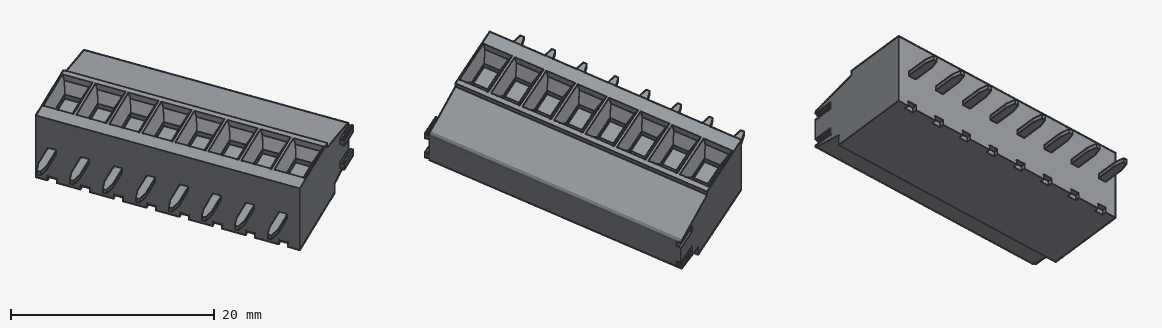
import cadquery as cq

WAYS = 8
PITCH = 3.5
LENGTH = WAYS * PITCH
DEPTH = 12.6
HEIGHT = 8.2

TOP_STEP_Y = 7.15
TOP_STEP_Z = 7.65
BACK_TOP_Z = 6.4
BOTTOM_STEP_Y = 9.05
BOTTOM_STEP_Z = 1.25
BACK_BOTTOM_Z = 1.85
BACK_EDGE_FILLET = 0.3

POCKET_LENGTH_X = 3.2
POCKET_WIDTH_Y = 4.95
POCKET_CENTRE_Y = 4.07
LIP_DEPTH = 0.56
LIP_INSET_Y = 0.19
FUNNEL_DEPTH = 1.45
FUNNEL_INSET_X = 0.72
LIP_INSET_X = FUNNEL_INSET_X * LIP_DEPTH / FUNNEL_DEPTH
FUNNEL_INSET_Y = 1.18
POCKET_DEPTH = 2.0

PIN_WIDTH = 0.9
PIN_TIP_WIDTH = 0.4
PIN_THICKNESS = 0.5
PIN_CENTRE_Z = 4.1
PIN_LENGTH = 3.5
PIN_STRAIGHT = 2.45

NOTCH_WIDTH = 1.0
NOTCH_HEIGHT = 0.6
NOTCH_DEPTH = 0.5

KEY_RUN = 2.3
KEY_DEPTH = 0.5
KEY_MIRROR_Z = 4.14
NECK_INNER = 1.29
NECK_OUTER = 1.86
STEP_FROM_END = KEY_DEPTH / 2
RIB_HEAD_INNER = 1.21
RIB_HEAD_OUTER = 1.94
RIB_CREST_OUTER = 2.0
GROOVE_MOUTH_INNER = 1.23
GROOVE_MOUTH_OUTER = 2.04
GROOVE_STEP_SLOPE = 0.1


def way_centre_x(way):
    return (way + 0.5) * PITCH


def make_body():
    outline = [
        (0, 0),
        (BOTTOM_STEP_Y, 0),
        (BOTTOM_STEP_Y, BOTTOM_STEP_Z),
        (DEPTH, BACK_BOTTOM_Z),
        (DEPTH, BACK_TOP_Z),
        (TOP_STEP_Y, TOP_STEP_Z),
        (TOP_STEP_Y, HEIGHT),
        (0, HEIGHT),
    ]
    body = cq.Workplane("YZ").polyline(outline).close().extrude(LENGTH)
    return body.faces(">Y").edges("|X").fillet(BACK_EDGE_FILLET)


def pocket_section(workplane, inset_x, inset_y):
    return workplane.rect(POCKET_LENGTH_X - 2 * inset_x, POCKET_WIDTH_Y - 2 * inset_y)


def make_pocket(x):
    def level(depth):
        return cq.Workplane("XY", origin=(x, POCKET_CENTRE_Y, HEIGHT - depth))

    lip = pocket_section(level(0), 0, 0).workplane(offset=-LIP_DEPTH)
    lip = pocket_section(lip, LIP_INSET_X, LIP_INSET_Y).loft(ruled=True)

    funnel = pocket_section(level(LIP_DEPTH), LIP_INSET_X, LIP_INSET_Y)
    funnel = funnel.workplane(offset=LIP_DEPTH - FUNNEL_DEPTH)
    funnel = pocket_section(funnel, FUNNEL_INSET_X, FUNNEL_INSET_Y).loft(ruled=True)

    well = pocket_section(level(FUNNEL_DEPTH), FUNNEL_INSET_X, FUNNEL_INSET_Y)
    well = well.extrude(FUNNEL_DEPTH - POCKET_DEPTH)
    return lip.union(funnel).union(well)


def make_pin(x):
    outline = [
        (-PIN_WIDTH / 2, 0),
        (-PIN_WIDTH / 2, -PIN_STRAIGHT),
        (-PIN_TIP_WIDTH / 2, -PIN_LENGTH),
        (PIN_TIP_WIDTH / 2, -PIN_LENGTH),
        (PIN_WIDTH / 2, -PIN_STRAIGHT),
        (PIN_WIDTH / 2, 0),
    ]
    plane = cq.Workplane("XY", origin=(x, 0, PIN_CENTRE_Z - PIN_THICKNESS / 2))
    return plane.polyline(outline).close().extrude(PIN_THICKNESS)


def make_notch(x):
    notch = cq.Workplane("XY").box(NOTCH_WIDTH, NOTCH_DEPTH, NOTCH_HEIGHT, centered=(True, False, False))
    return notch.translate((x, 0, 0))


def extrude_key(outline, side):
    """Extrude an (x, offset) section on the upper (side = 1) or lower (side = -1) half."""
    points = [(x, KEY_MIRROR_Z + side * offset) for x, offset in outline]
    return cq.Workplane("XZ", origin=(0, DEPTH, 0)).polyline(points).close().extrude(KEY_RUN)


def make_rib(side):
    step_x = LENGTH + STEP_FROM_END
    tip_x = LENGTH + KEY_DEPTH
    outline = [
        (LENGTH, NECK_INNER),
        (step_x, NECK_INNER),
        (step_x, RIB_HEAD_INNER),
        (tip_x, RIB_HEAD_INNER),
        (tip_x, RIB_HEAD_OUTER),
        ((step_x + tip_x) / 2, RIB_CREST_OUTER),
        (step_x, RIB_HEAD_OUTER),
        (step_x, NECK_OUTER),
        (LENGTH, NECK_OUTER),
    ]
    return extrude_key(outline, side)


def make_groove(side):
    outline = [
        (0, GROOVE_MOUTH_INNER),
        (STEP_FROM_END, GROOVE_MOUTH_INNER),
        (STEP_FROM_END, NECK_INNER),
        (KEY_DEPTH, NECK_INNER),
        (KEY_DEPTH, NECK_OUTER),
        (STEP_FROM_END + GROOVE_STEP_SLOPE / 2, NECK_OUTER),
        (STEP_FROM_END - GROOVE_STEP_SLOPE / 2, GROOVE_MOUTH_OUTER),
        (0, GROOVE_MOUTH_OUTER),
    ]
    return extrude_key(outline, side)


result = make_body()
for way in range(WAYS):
    centre_x = way_centre_x(way)
    result = result.cut(make_pocket(centre_x))
    result = result.cut(make_notch(centre_x))
    result = result.union(make_pin(centre_x))
for half in (1, -1):
    result = result.union(make_rib(half))
    result = result.cut(make_groove(half))